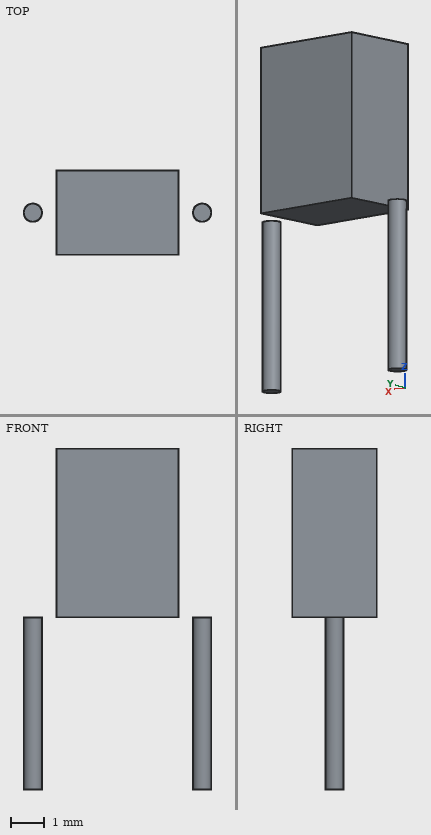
import cadquery as cq

total_width = 5.55
total_height = 10.1

body_width = 3.62
body_depth = 2.5
body_height = 5.0

lead_diameter = 0.55
lead_pitch = total_width - lead_diameter
lead_length = total_height - body_height


def make_body():
    """Plain block whose underside lies on the plane Z = 0."""
    return cq.Workplane("XY").box(body_width, body_depth, body_height, centered=(True, True, False))


def make_lead(x_center):
    """Straight lead running down from the plane of the body's underside."""
    return cq.Workplane("XY").center(x_center, 0).circle(lead_diameter / 2).extrude(-lead_length)


body = make_body()
leads = [make_lead(side * lead_pitch / 2) for side in (-1, 1)]

result = cq.Compound.makeCompound([body.val(), *[lead.val() for lead in leads]])